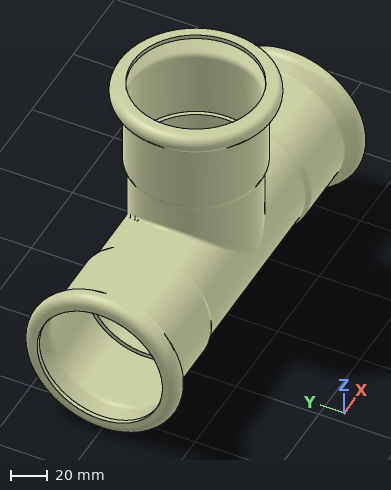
import cadquery as cq
import math


run_length = 232.0
branch_height = 115.0
wall = 2.5

socket_radius = 80.0 / 2
run_radius = 76.0 / 2
branch_radius = 75.0 / 2
bore_radius = branch_radius - wall
lip_radius = 76.0 / 2
bead_center_radius = 41.5
bead_radius = 5.8

bead_slope = math.radians(45)
neck_slope = math.radians(30)
neck_start = 55.5
bead_blend = 2.3
neck_blend = 2.8
run_foot_blend = 2.8
branch_foot_blend = 1.2
junction_fillet = 1.9
seam_margin = 2.3


def add_rounded_corner(profile, corner, turn_in, turn_out, blend):
    """Run to a corner and round it; the two angles give the directions of travel."""
    turn = turn_out - turn_in
    setback = blend * math.tan(abs(turn) / 2)
    start = (corner[0] - setback * math.cos(turn_in), corner[1] - setback * math.sin(turn_in))
    end = (corner[0] + setback * math.cos(turn_out), corner[1] + setback * math.sin(turn_out))
    middle_angle = (turn_in + turn_out) / 2
    half_chord = blend * math.sin(abs(turn) / 2)
    sagitta = blend * (1 - math.cos(turn / 2))
    side = math.copysign(1, turn)
    chord_start = (start[0] + half_chord * math.cos(middle_angle),
                   start[1] + half_chord * math.sin(middle_angle))
    middle = (chord_start[0] + side * sagitta * math.sin(middle_angle),
              chord_start[1] - side * sagitta * math.cos(middle_angle))
    return profile.lineTo(*start).threePointArc(middle, end)


def limb(length, tube_radius, foot_blend, inset):
    """Solid limb revolved about X, mouth at x = 0; inset is 0 outside or the wall inside."""
    section_radius = bead_radius - inset
    barrel_radius = socket_radius - inset
    bead_end_angle = math.pi / 2 - bead_slope

    def on_bead(angle):
        return (bead_radius + section_radius * math.cos(angle),
                bead_center_radius + section_radius * math.sin(angle))

    bead_end = on_bead(bead_end_angle)
    bead_foot = bead_end[0] + (bead_end[1] - barrel_radius) / math.tan(bead_slope)
    neck_foot = neck_start + (barrel_radius - tube_radius) / math.tan(neck_slope)

    profile = cq.Workplane("XY").moveTo(0, 0)
    if inset > 0:
        profile = profile.lineTo(0, lip_radius).lineTo(inset, lip_radius)
    profile = profile.lineTo(inset, bead_center_radius)
    profile = profile.threePointArc(on_bead((math.pi + bead_end_angle) / 2), bead_end)
    profile = add_rounded_corner(profile, (bead_foot, barrel_radius), -bead_slope, 0, bead_blend + inset)
    if inset > 0:
        profile = profile.lineTo(neck_start, barrel_radius).lineTo(neck_start, tube_radius)
    else:
        profile = add_rounded_corner(profile, (neck_start, barrel_radius), 0, -neck_slope, neck_blend)
        profile = add_rounded_corner(profile, (neck_foot, tube_radius), -neck_slope, 0, foot_blend)
    profile = profile.lineTo(length, tube_radius).lineTo(length, 0).close()
    return profile.revolve(360, (0, 0, 0), (1, 0, 0))


def run_body(tube_radius, inset):
    half = limb(run_length / 2, tube_radius, run_foot_blend, inset).translate((-run_length / 2, 0, 0))
    return half.union(half.mirror("YZ"))


def branch_body(tube_radius, inset):
    upright = limb(branch_height, tube_radius, branch_foot_blend, inset)
    return upright.rotate((0, 0, 0), (0, 1, 0), 90).translate((0, 0, branch_height))


skin = run_body(run_radius, 0).union(branch_body(branch_radius, 0))
seam_reach = run_radius + seam_margin
seam_box = cq.selectors.BoxSelector(
    (-seam_reach, -seam_reach, 0),
    (seam_reach, seam_reach, seam_reach),
    boundingbox=True,
)
skin = skin.edges(seam_box).fillet(junction_fillet)

result = skin.cut(run_body(bore_radius, wall)).cut(branch_body(bore_radius, wall))